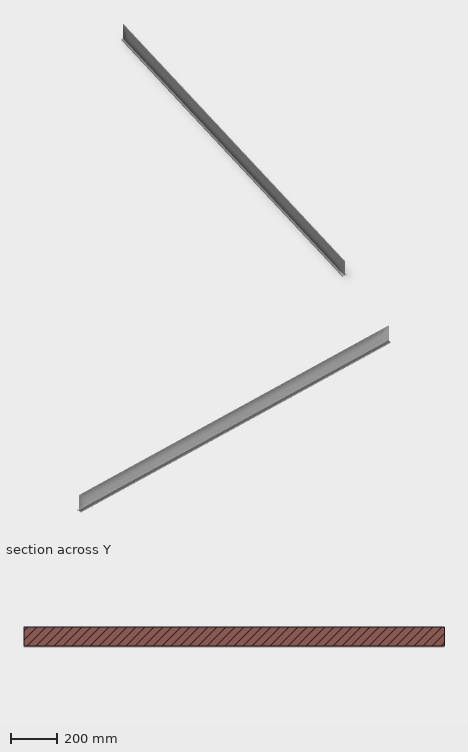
import cadquery as cq

length = 1828.8
foot_width = 19.1
height = 89.74

web_thickness = 2.5
bead_height = 7.9
bead_thickness = 3.2

wall_thickness = 1.6
foot_height = 6.5

edge_radius = 1.0


def bar(width, bottom, top):
    """Full-length rectangular bar, centred on the web, between two heights."""
    block = cq.Workplane("XY").box(length, width, top - bottom, centered=(True, True, False))
    return block.translate((0, 0, bottom))


def round_top(block):
    """Round the two long upper edges of a bar."""
    return block.faces(">Z").edges("|X").fillet(edge_radius)


def make_web():
    """Upright plate running from the top of the foot to the underside of the bead."""
    return bar(web_thickness, foot_height, height - bead_height)


def make_bead():
    """Thicker strip along the top of the web."""
    return round_top(bar(bead_thickness, height - bead_height, height))


def make_foot():
    """Downward-opening channel that carries the web."""
    channel = bar(foot_width - 2 * wall_thickness, 0, foot_height - wall_thickness)
    return round_top(bar(foot_width, 0, foot_height)).cut(channel)


result = make_foot().union(make_web()).union(make_bead())